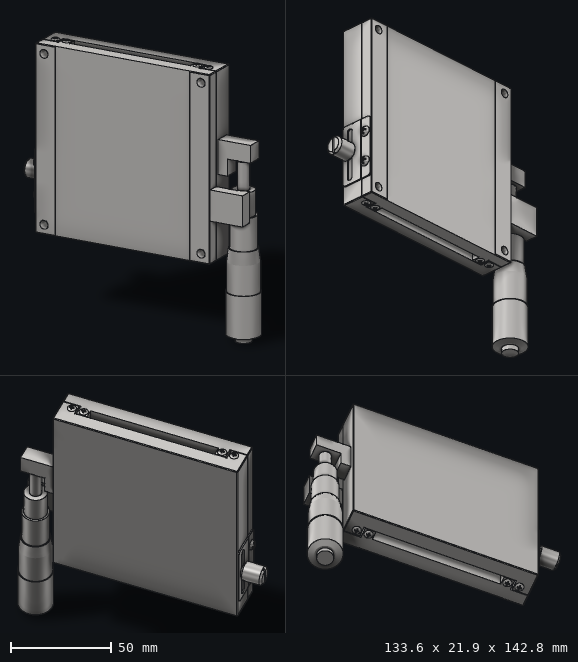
import cadquery as cq
import math


SIDE = 100.0
HALF = SIDE / 2
DEPTH = 20.0
FRONT_Y = -DEPTH / 2
BACK_Y = DEPTH / 2
JOINT_GAP = 0.4
FIXED_BACK_Y = -3.4
TABLE_FRONT_Y = FIXED_BACK_Y + JOINT_GAP
EDGE_CHAMFER = 0.4

CHANNEL_HALF = 41.1
CHANNEL_ROOF_Y = 2.5
RAIL_GAP = 0.9
RAIL_WIDTH = 5.7
RAIL_TOP_Y = 2.3
RAIL_OUTER = CHANNEL_HALF - RAIL_GAP
RAIL_INNER = RAIL_OUTER - RAIL_WIDTH
CENTRE_PAD_Y = -2.3

RELIEF_HALF = 38.5
RELIEF_DEPTH = 0.4
MOUNT_HOLE_DIA = 4.5
MOUNT_HOLE_PITCH = 90.0

END_SCREW_DIA = 4.5
END_SCREW_HEIGHT = 1.0
END_SCREW_Y = -0.3
END_CROSS_LENGTH = 2.3
END_CROSS_WIDTH = 0.4
END_CROSS_DEPTH = 0.5
RAIL_SCREW_X = (RAIL_OUTER + RAIL_INNER) / 2
TABLE_SCREW_X = 43.8

LOCK_THICKNESS = 0.7
LOCK_WIDTH = 18.8
LOCK_LENGTH = 34.0
LOCK_Z = -23.0
LOCK_CORNER_RADIUS = 1.4
LOCK_FACE_X = -HALF - LOCK_THICKNESS
GROOVE_DEPTH = 0.1
SLOT_WIDTH = 3.3
SLOT_LENGTH = 29.3
SLOT_Z = -23.1
LOCK_SCREW_DIA = 5.5
LOCK_SCREW_HEIGHT = 2.1
LOCK_SCREW_Y = -6.1
LOCK_SCREW_Z = -22.5
LOCK_SCREW_PITCH = 17.0
LOCK_CROSS_WIDTH = 0.7
LOCK_CROSS_DEPTH = 0.9

KNOB_Y = 4.5
KNOB_Z = -22.1
KNOB_DIA = 10.0
KNOB_LENGTH = 10.5
KNOB_NECK_DIA = 7.0
KNOB_NECK_LENGTH = 1.3
KNOB_STUD_DIA = 3.0
KNOB_CHAMFER_LENGTH = 1.1
KNOB_CHAMFER_DEPTH = 1.1
KNOB_SLOT_WIDTH = 1.0
KNOB_SLOT_DEPTH = 1.1

BRACKET_END_X = 68.5
HOLDER_TOP_Z = -10.7
HOLDER_BOTTOM_Z = -27.1
HOLDER_FRONT_Y = FRONT_Y + RELIEF_DEPTH
HOLDER_BACK_Y = -2.3
HOLDER_STEP_Y = -3.5
HOLDER_STEP_X = 50.7
HOLDER_RECESS_Z = -12.9
STOP_TOP_Z = 13.4
STOP_BOTTOM_Z = 4.0
STOP_FOOT_Z = -5.0
STOP_FOOT_X = 55.4
STOP_FRONT_Y = -1.4
STOP_BACK_Y = 7.1

MIC_X = 62.1
MIC_Y = 2.9
SPINDLE_DIA = 6.3
SPINDLE_CHAMFER = 0.9
SHANK_DIA = 12.0
SHANK_TOP_Z = -11.9
SLEEVE_DIA = 14.0
SLEEVE_TOP_Z = -25.1
CONE_TOP_DIA = 15.1
CONE_TOP_Z = -42.5
BARREL_DIA = 17.1
BARREL_TOP_Z = -49.5
THIMBLE_DIA = 18.0
THIMBLE_TOP_Z = -65.4
THIMBLE_BOTTOM_Z = -88.1
END_CONE_DIA = 10.5
END_CONE_Z = -89.1
BUTTON_DIA = 8.5
BUTTON_BOTTOM_Z = -91.8


def block(x0, x1, y0, y1, z0, z1):
    """Box between two opposite corners."""
    return cq.Workplane("XY").box(x1 - x0, y1 - y0, z1 - z0, centered=False).translate((x0, y0, z0))


def domed_head(dia, height, cross_length, cross_width, cross_depth):
    """Cross-recessed screw head standing on Z = 0, shaped as a spherical cap."""
    radius = dia / 2
    sphere_radius = (radius**2 + height**2) / (2 * height)
    centre_z = height - sphere_radius
    half_angle = math.asin(radius / sphere_radius) / 2
    middle = (sphere_radius * math.sin(half_angle), centre_z + sphere_radius * math.cos(half_angle))
    head = (
        cq.Workplane("XZ")
        .lineTo(radius, 0)
        .threePointArc(middle, (0, height))
        .close()
        .revolve(360, (0, 0, 0), (0, 1, 0))
    )
    arm = cq.Workplane("XY").box(cross_length, cross_width, 2 * cross_depth).translate((0, 0, height))
    return head.cut(arm).cut(arm.rotate((0, 0, 0), (0, 0, 1), 90))


def end_screws(distance):
    """Heads on the top and bottom ends of the stage, at X = -distance and +distance."""
    head = domed_head(
        END_SCREW_DIA, END_SCREW_HEIGHT,
        END_CROSS_LENGTH, END_CROSS_WIDTH, END_CROSS_DEPTH,
    ).translate((0, 0, HALF))
    heads = []
    for end_angle in (0, 180):
        placed = head.rotate((0, 0, 0), (1, 0, 0), end_angle)
        heads += [placed.translate((x, END_SCREW_Y, 0)) for x in (-distance, distance)]
    return heads


def make_lock_plate():
    """Slotted plate on the -X side, screwed to the fixed plate."""
    plate = (
        cq.Workplane("YZ")
        .rect(LOCK_WIDTH, LOCK_LENGTH)
        .extrude(LOCK_THICKNESS)
        .edges("|X")
        .fillet(LOCK_CORNER_RADIUS)
        .translate((LOCK_FACE_X, 0, LOCK_Z))
    )
    slot = (
        cq.Workplane("YZ")
        .slot2D(SLOT_LENGTH, SLOT_WIDTH, 90)
        .extrude(LOCK_THICKNESS)
        .translate((LOCK_FACE_X, KNOB_Y, SLOT_Z))
    )
    groove = block(
        LOCK_FACE_X, LOCK_FACE_X + GROOVE_DEPTH,
        FIXED_BACK_Y, TABLE_FRONT_Y,
        LOCK_Z - LOCK_LENGTH / 2, LOCK_Z + LOCK_LENGTH / 2,
    )
    plate = plate.cut(slot).cut(groove)
    head = domed_head(
        LOCK_SCREW_DIA, LOCK_SCREW_HEIGHT,
        LOCK_SCREW_DIA, LOCK_CROSS_WIDTH, LOCK_CROSS_DEPTH,
    ).rotate((0, 0, 0), (0, 1, 0), -90)
    for side in (-1, 1):
        z = LOCK_SCREW_Z + side * LOCK_SCREW_PITCH / 2
        plate = plate.union(head.translate((LOCK_FACE_X, LOCK_SCREW_Y, z)))
    return plate


def make_micrometer():
    """Micrometer head turned about a vertical axis, its tip against the stop of the table."""
    profile = [
        (0, STOP_BOTTOM_Z),
        (SPINDLE_DIA / 2 - SPINDLE_CHAMFER, STOP_BOTTOM_Z),
        (SPINDLE_DIA / 2, STOP_BOTTOM_Z - SPINDLE_CHAMFER),
        (SPINDLE_DIA / 2, SHANK_TOP_Z),
        (SHANK_DIA / 2, SHANK_TOP_Z),
        (SHANK_DIA / 2, SLEEVE_TOP_Z),
        (SLEEVE_DIA / 2, SLEEVE_TOP_Z),
        (SLEEVE_DIA / 2, CONE_TOP_Z),
        (CONE_TOP_DIA / 2, CONE_TOP_Z),
        (BARREL_DIA / 2, BARREL_TOP_Z),
        (BARREL_DIA / 2, THIMBLE_TOP_Z),
        (THIMBLE_DIA / 2, THIMBLE_TOP_Z),
        (THIMBLE_DIA / 2, THIMBLE_BOTTOM_Z),
        (END_CONE_DIA / 2, END_CONE_Z),
        (BUTTON_DIA / 2, END_CONE_Z),
        (BUTTON_DIA / 2, BUTTON_BOTTOM_Z),
        (0, BUTTON_BOTTOM_Z),
    ]
    return (
        cq.Workplane("XZ")
        .polyline(profile)
        .close()
        .revolve(360, (0, 0, 0), (0, 1, 0))
        .translate((MIC_X, MIC_Y, 0))
    )


def make_holder():
    """Bracket on the fixed plate, bored for the shank and sleeve of the micrometer."""
    holder = block(HALF, BRACKET_END_X, HOLDER_FRONT_Y, HOLDER_BACK_Y, HOLDER_BOTTOM_Z, HOLDER_TOP_Z)
    root_relief = block(HALF, HOLDER_STEP_X, HOLDER_STEP_Y, HOLDER_BACK_Y, HOLDER_BOTTOM_Z, HOLDER_TOP_Z)
    top_recess = block(HALF, MIC_X, HOLDER_STEP_Y, HOLDER_BACK_Y, HOLDER_RECESS_Z, HOLDER_TOP_Z)
    shank_bore = (
        cq.Workplane("XY", origin=(MIC_X, MIC_Y, HOLDER_BOTTOM_Z))
        .circle(SHANK_DIA / 2)
        .extrude(HOLDER_TOP_Z - HOLDER_BOTTOM_Z)
    )
    sleeve_bore = (
        cq.Workplane("XY", origin=(MIC_X, MIC_Y, HOLDER_BOTTOM_Z))
        .circle(SLEEVE_DIA / 2)
        .extrude(SLEEVE_TOP_Z - HOLDER_BOTTOM_Z)
    )
    return holder.cut(root_relief).cut(top_recess).cut(shank_bore).cut(sleeve_bore)


def make_fixed_plate():
    """Front plate with two rails, the lock plate and the micrometer holder."""
    plate = block(-HALF, HALF, FRONT_Y, FIXED_BACK_Y, -HALF, HALF)
    plate = plate.edges("<Y or (|Y)").chamfer(EDGE_CHAMFER)
    relief = block(-RELIEF_HALF, RELIEF_HALF, FRONT_Y, FRONT_Y + RELIEF_DEPTH, -HALF, HALF)
    plate = plate.cut(relief)

    plate = plate.union(block(-RAIL_OUTER, RAIL_OUTER, FIXED_BACK_Y, CENTRE_PAD_Y, -HALF, HALF))
    for x in (-RAIL_OUTER, RAIL_INNER):
        plate = plate.union(block(x, x + RAIL_WIDTH, FIXED_BACK_Y, RAIL_TOP_Y, -HALF, HALF))

    mount_holes = (
        cq.Workplane("XZ", origin=(0, FRONT_Y, 0))
        .rect(MOUNT_HOLE_PITCH, MOUNT_HOLE_PITCH, forConstruction=True)
        .vertices()
        .circle(MOUNT_HOLE_DIA / 2)
        .extrude(FRONT_Y - FIXED_BACK_Y)
    )
    plate = plate.cut(mount_holes)

    for head in end_screws(RAIL_SCREW_X):
        plate = plate.union(head)
    return plate.union(make_lock_plate()).union(make_holder())


def make_knob():
    """Slotted clamping knob whose stud passes through the lock plate."""
    inner_x = LOCK_FACE_X - KNOB_NECK_LENGTH
    outer_x = inner_x - KNOB_LENGTH
    radius = KNOB_DIA / 2
    profile = [
        (-HALF, 0),
        (-HALF, KNOB_STUD_DIA / 2),
        (LOCK_FACE_X, KNOB_STUD_DIA / 2),
        (LOCK_FACE_X, KNOB_NECK_DIA / 2),
        (inner_x, KNOB_NECK_DIA / 2),
        (inner_x, radius),
        (outer_x + KNOB_CHAMFER_LENGTH, radius),
        (outer_x, radius - KNOB_CHAMFER_DEPTH),
        (outer_x, 0),
    ]
    knob = cq.Workplane("XY").polyline(profile).close().revolve(360, (0, 0, 0), (1, 0, 0))
    slot = block(
        outer_x, outer_x + KNOB_SLOT_DEPTH,
        -KNOB_SLOT_WIDTH / 2, KNOB_SLOT_WIDTH / 2,
        -radius, radius,
    )
    return knob.cut(slot).translate((0, KNOB_Y, KNOB_Z))


def make_stop():
    """Bracket on the table that the micrometer spindle pushes against."""
    arm = block(HALF, BRACKET_END_X, STOP_FRONT_Y, STOP_BACK_Y, STOP_BOTTOM_Z, STOP_TOP_Z)
    foot = block(HALF, STOP_FOOT_X, STOP_FRONT_Y, STOP_BACK_Y, STOP_FOOT_Z, STOP_BOTTOM_Z)
    return arm.union(foot)


def make_table():
    """Sliding plate with a channel over the rails, the clamping knob and the stop."""
    table = block(-HALF, HALF, TABLE_FRONT_Y, BACK_Y, -HALF, HALF)
    table = table.edges(">Y or (|Y)").chamfer(EDGE_CHAMFER)
    channel = block(-CHANNEL_HALF, CHANNEL_HALF, TABLE_FRONT_Y, CHANNEL_ROOF_Y, -HALF, HALF)
    table = table.cut(channel)
    for head in end_screws(TABLE_SCREW_X):
        table = table.union(head)
    return table.union(make_knob()).union(make_stop())


fixed_plate = make_fixed_plate()
table = make_table()
micrometer = make_micrometer()

bodies = [fixed_plate, table, micrometer]
result = cq.Compound.makeCompound([body.solids().val() for body in bodies])